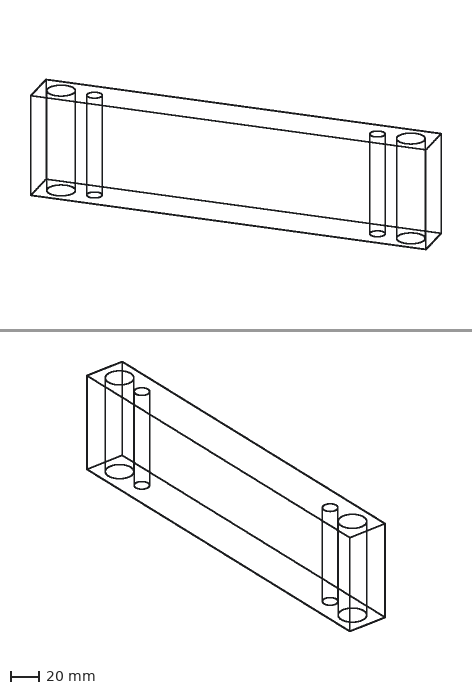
import cadquery as cq

length = 296.0
thickness = 32.0
height = 76.0

large_diameter = 20.0
large_spacing = 262.0
small_diameter = 11.0
small_spacing = 212.0


def drill_pair(body, diameter, spacing):
    """Drill two through holes on the centre line of the top face."""
    centres = [(-spacing / 2, 0), (spacing / 2, 0)]
    return body.faces(">Z").workplane(origin=(0, 0, 0)).pushPoints(centres).hole(diameter)


block = cq.Workplane("XY").box(length, thickness, height)
block = drill_pair(block, large_diameter, large_spacing)
result = drill_pair(block, small_diameter, small_spacing)